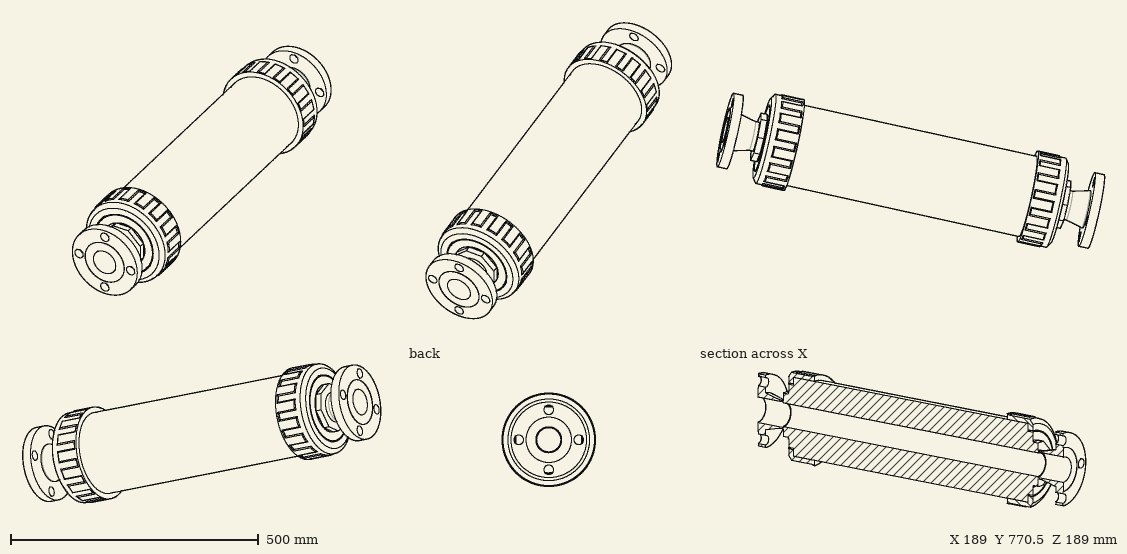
import cadquery as cq
import math

total_length = 770.5
half_length = total_length / 2

flange_dia = 152.5
raised_face_dia = 92.0
raised_face_height = 1.0
flange_back_depth = 20.0
bolt_hole_dia = 19.0
bolt_circle_dia = 121.0
bolt_count = 4
bore_dia = 48.5
port_dia = 52.5
cone_large_dia = 77.0
cone_start_depth = 22.0
neck_dia = 60.0
cone_end_depth = 56.0
octagon_width = 92.0
octagon_depth = 64.0
octagon_corner_cut = 28.5
octagon_base_height = 1.0

tube_dia = 166.5
shoulder_dia = 133.0

nut_dia = 185.0
grip_dia = 189.0
nut_mouth_dia = 137.0
nut_face_depth = 77.0
nut_length = 65.5
nut_wall = 12.0
nut_chamfer_radial = 10.0
nut_chamfer_axial = 7.0
grip_length = 46.0
collar_length = 5.5
rib_count = 16
rib_phase = -7.5
rib_width = 21.5
rib_root = 3.0
rib_draft = 45.0

nut_end_depth = nut_face_depth + nut_length
tube_end_depth = nut_face_depth + nut_wall
collar_start_depth = nut_end_depth - collar_length
grip_height = (grip_dia - nut_dia) / 2


def front_y(depth):
    """Y coordinate at a depth inside the -Y end."""
    return depth - half_length


def disc(diameter, start_depth, end_depth):
    """Cylinder on the Y axis between two depths at the -Y end."""
    plane = cq.Plane(origin=(0, front_y(start_depth), 0), xDir=(1, 0, 0), normal=(0, 1, 0))
    return cq.Workplane(plane).circle(diameter / 2).extrude(end_depth - start_depth)


def revolve_about_y(points):
    """Solid of revolution from (radius, depth) points at the -Y end."""
    outline = [(radius, front_y(depth)) for radius, depth in points]
    return cq.Workplane("XY").polyline(outline).close().revolve(360, (0, 0, 0), (0, 1, 0))


def at_other_end(shape):
    """The same shape turned half round the Z axis, to the +Y end."""
    return shape.rotate((0, 0, 0), (0, 0, 1), 180)


def make_flange():
    flange = disc(flange_dia, raised_face_height, flange_back_depth)
    flange = flange.union(disc(raised_face_dia, 0, flange_back_depth))
    bolt_holes = (
        cq.Workplane(cq.Plane(origin=(0, front_y(0), 0), xDir=(1, 0, 0), normal=(0, 1, 0)))
        .polarArray(bolt_circle_dia / 2, 0, 360, bolt_count)
        .circle(bolt_hole_dia / 2)
        .extrude(flange_back_depth)
    )
    return flange.cut(bolt_holes)


def make_neck():
    """Cone and short cylinder that join the flange to the octagon."""
    return revolve_about_y([
        (0, flange_back_depth),
        (cone_large_dia / 2, flange_back_depth),
        (cone_large_dia / 2, cone_start_depth),
        (neck_dia / 2, cone_end_depth),
        (neck_dia / 2, octagon_depth),
        (0, octagon_depth),
    ])


def make_octagon():
    """Square with its corners cut off, on a thin round base that reaches the cut corners."""
    plane = cq.Plane(origin=(0, front_y(octagon_depth), 0), xDir=(1, 0, 0), normal=(0, 1, 0))
    octagon = (
        cq.Workplane(plane)
        .rect(octagon_width, octagon_width)
        .extrude(nut_face_depth - octagon_depth)
        .edges("|Y")
        .chamfer(octagon_corner_cut)
    )
    across_corners = math.hypot(octagon_width, octagon_width - 2 * octagon_corner_cut)
    return octagon.union(disc(across_corners, nut_face_depth - octagon_base_height, nut_face_depth))


def make_cartridge():
    """Tube with a shoulder, octagon, neck and flange at each end, bored right through and wider in the necks."""
    connector = disc(shoulder_dia, nut_face_depth, tube_end_depth)
    connector = connector.union(make_octagon()).union(make_neck()).union(make_flange())
    connector = connector.cut(disc(port_dia, 0, octagon_depth))
    cartridge = disc(tube_dia, tube_end_depth, total_length - tube_end_depth)
    cartridge = cartridge.union(connector).union(at_other_end(connector))
    return cartridge.cut(disc(bore_dia, 0, total_length))


def make_nut_blank():
    """Chamfered nut with a stepped bore and an oversize collar at its open end."""
    collar_radius = grip_dia / 2 + grip_height
    return revolve_about_y([
        (nut_mouth_dia / 2, nut_face_depth),
        (nut_dia / 2 - nut_chamfer_radial, nut_face_depth),
        (nut_dia / 2, nut_face_depth + nut_chamfer_axial),
        (nut_dia / 2, collar_start_depth),
        (collar_radius, collar_start_depth + collar_radius - nut_dia / 2),
        (collar_radius, nut_end_depth),
        (tube_dia / 2, nut_end_depth),
        (tube_dia / 2, tube_end_depth),
        (nut_mouth_dia / 2, tube_end_depth),
    ])


def make_rib():
    """Oversize rib on the +Z side, with 45 degree flanks, rooted in the nut wall and run past its open end."""
    root_width = rib_width + 2 * rib_root
    root_length = 2 * (grip_length + rib_root)
    return (
        cq.Workplane("XY", origin=(0, front_y(nut_end_depth), nut_dia / 2 - rib_root))
        .rect(root_width, root_length)
        .extrude(rib_root + 2 * grip_height, taper=rib_draft)
    )


def make_nut():
    """Union nut at the -Y end; its ribs and collar are trimmed together to the grip diameter."""
    nut = make_nut_blank()
    rib = make_rib()
    for index in range(rib_count):
        angle = rib_phase + index * 360 / rib_count
        nut = nut.union(rib.rotate((0, 0, 0), (0, 1, 0), angle))
    return nut.intersect(disc(grip_dia, nut_face_depth, nut_end_depth))


cartridge = make_cartridge()
front_nut = make_nut()
nuts = [front_nut, at_other_end(front_nut)]

result = cq.Compound.makeCompound([cartridge.val(), *[nut.val() for nut in nuts]])